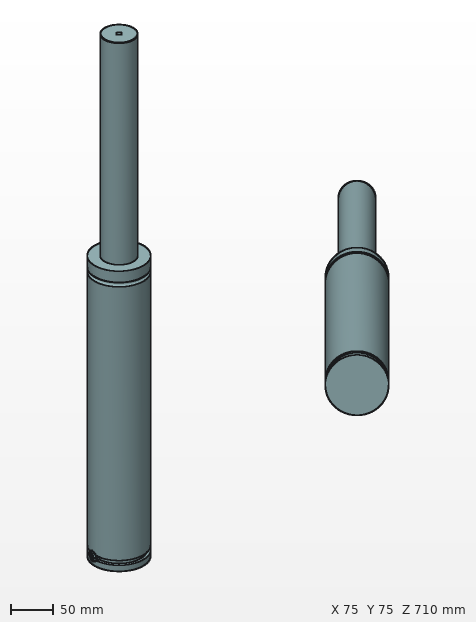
import cadquery as cq

total_length = 710.0
body_diameter = 75.0
body_length = 408.0
rod_diameter = 45.0
rod_chamfer = 1.0

rod_hole_diameter = 6.8
rod_hole_depth = 14.0

collar_height = 15.5
collar_groove_radius = 3.0
foot_height = 8.5
foot_groove_width = 6.5
foot_groove_depth = 4.0

port_diameter = 16.0
port_bore_diameter = 14.0
port_bore_depth = 3.0
port_height = 11.5
port_length = 11.0
port_socket_diameter = 6.8
port_socket_depth = 7.0

body_radius = body_diameter / 2


def ring_groove(bottom, width, depth):
    """Ring of material to remove from the outside of the body."""
    return (
        cq.Workplane("XY")
        .workplane(offset=bottom)
        .circle(body_radius + depth)
        .circle(body_radius - depth)
        .extrude(width)
    )


def port_cylinder(diameter, depth):
    """Cylinder reaching inward from the -Y extreme of the body."""
    return (
        cq.Workplane("XZ", origin=(0, -body_radius, port_height))
        .circle(diameter / 2)
        .extrude(-depth)
    )


envelope = cq.Workplane("XY").circle(body_radius).extrude(body_length)
collar_groove_height = body_length - collar_height - collar_groove_radius
collar_groove = (
    cq.Workplane("XZ")
    .center(body_radius, collar_groove_height)
    .circle(collar_groove_radius)
    .revolve(360, (-body_radius, 0), (-body_radius, 1))
)
body = envelope.cut(collar_groove)
body = body.cut(ring_groove(foot_height, foot_groove_width, foot_groove_depth))

port_rim = port_cylinder(port_diameter, port_length).intersect(envelope)
body = body.union(port_rim).cut(port_cylinder(port_bore_diameter, port_bore_depth))
body = body.cut(port_cylinder(port_socket_diameter, port_socket_depth))

rod = (
    cq.Workplane("XY")
    .workplane(offset=body_length)
    .circle(rod_diameter / 2)
    .extrude(total_length - body_length)
    .faces(">Z")
    .chamfer(rod_chamfer)
    .faces(">Z")
    .workplane()
    .hole(rod_hole_diameter, rod_hole_depth)
)

result = body.union(rod)